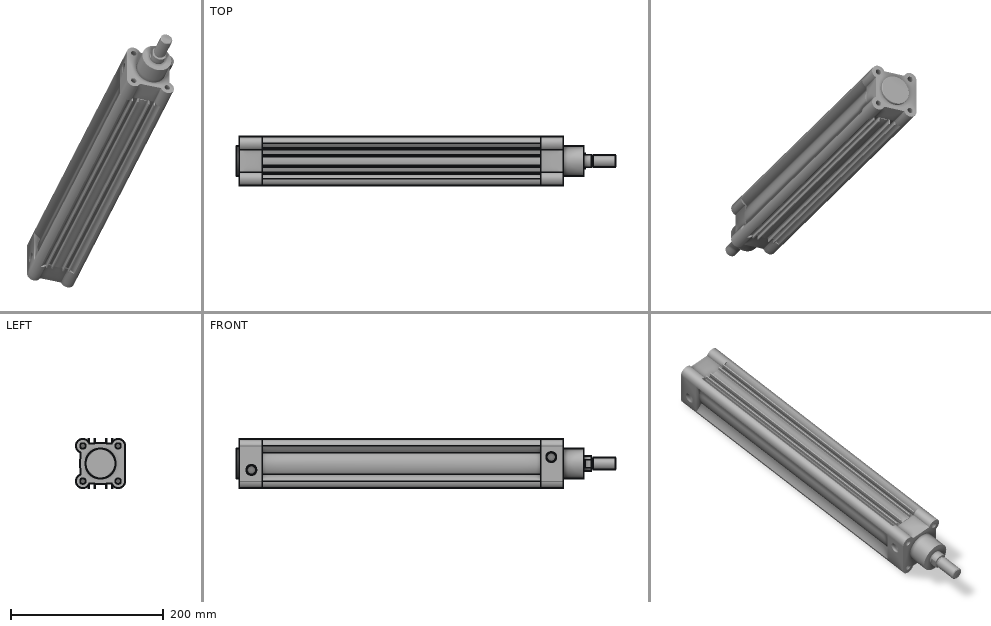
import cadquery as cq


overall_length = 499.0
rear_boss_length = 4.0
rear_boss_chamfer = 0.5
cap_length = 30.0
front_cap_x = 400.0
front_boss_length = 27.0

body_width = 65.0
corner_radius = 9.25
half_width = body_width / 2
corner_offset = half_width - corner_radius

cap_face_offset = 26.5
boss_radius = 20.0
screw_hole_radius = 3.75
screw_hole_depth = 10.0
port_radius = 6.0
port_chamfer = 0.75
port_depth = 10.0
port_height = 8.5
port_setback = 16.0

barrel_radius = 27.5
slot_center = 11.5
slot_mouth_half = 3.0
slot_cavity_half = 3.5
slot_floor = 25.0
slot_lip_bottom = 28.0
rail_top_half = 4.5
rail_flare = 1.5
rail_flare_bottom = 26.5
rail_base = 22.5

rod_radius = 10.0
flat_half_width = 8.5
flat_start_gap = 2.0
thread_length = 32.0
thread_radius = 8.0
thread_chamfer = 1.0
neck_length = 1.5
neck_radius = 7.0

rear_cap_x = rear_boss_length
tube_x = rear_cap_x + cap_length
tube_length = front_cap_x - tube_x
front_face_x = front_cap_x + cap_length
rod_x = front_face_x + front_boss_length
shoulder_x = overall_length - thread_length

corners = [(y, z) for y in (-corner_offset, corner_offset) for z in (-corner_offset, corner_offset)]


def section_plane(x):
    """Workplane across the cylinder axis; local axes are Y and Z, extrusion goes toward +X."""
    return cq.Workplane("YZ", origin=(x, 0, 0))


def make_cap_block(x):
    """Block with four round corner lugs and a full-width flat face on the -Y side."""
    core = (
        section_plane(x)
        .center((cap_face_offset - corner_offset) / 2, 0)
        .rect(cap_face_offset + corner_offset, 2 * cap_face_offset)
        .extrude(cap_length)
    )
    port_pad = (
        section_plane(x)
        .center(-(half_width + corner_offset) / 2, 0)
        .rect(corner_radius, 2 * corner_offset)
        .extrude(cap_length)
    )
    lugs = section_plane(x).pushPoints(corners).circle(corner_radius).extrude(cap_length)
    return core.union(port_pad).union(lugs)


def make_screw_holes(x, direction):
    """Blind corner holes going into a cap from its outer face."""
    mouths = section_plane(x).pushPoints(corners).circle(screw_hole_radius)
    return mouths.extrude(direction * screw_hole_depth)


def make_port(x, z):
    """Blind air port with a chamfered mouth in the -Y face."""
    bore = cq.Workplane("XZ", origin=(x, -half_width, z)).circle(port_radius).extrude(-port_depth)
    countersink = cq.Solid.makeCone(
        port_radius + port_chamfer,
        port_radius,
        port_chamfer,
        pnt=cq.Vector(x, -half_width, z),
        dir=cq.Vector(0, 1, 0),
    )
    return bore.union(cq.Workplane(countersink))


def make_rear_cap():
    boss = section_plane(0).circle(boss_radius).extrude(rear_boss_length)
    boss = boss.faces("<X").chamfer(rear_boss_chamfer)
    return (
        make_cap_block(rear_cap_x)
        .union(boss)
        .cut(make_screw_holes(rear_cap_x, 1))
        .cut(make_port(rear_cap_x + port_setback, -port_height))
    )


def make_front_cap():
    boss = section_plane(front_face_x).circle(boss_radius).extrude(front_boss_length)
    return (
        make_cap_block(front_cap_x)
        .union(boss)
        .cut(make_screw_holes(front_face_x, -1))
        .cut(make_port(front_face_x - port_setback, port_height))
    )


def make_slot_rail():
    """Rail on the +Z side that carries one sensor slot, with flared flanks."""
    rail_base_half = rail_top_half + rail_flare
    right_flank = [
        (rail_base_half, rail_base),
        (rail_base_half, rail_flare_bottom),
        (rail_top_half, rail_flare_bottom + rail_flare),
        (rail_top_half, half_width),
    ]
    left_flank = [(-y, z) for y, z in reversed(right_flank)]
    return section_plane(tube_x).polyline(right_flank + left_flank).close().extrude(tube_length)


def make_sensor_slot():
    """T-slot open at the top of a rail."""
    right_wall = [
        (slot_cavity_half, slot_floor),
        (slot_cavity_half, slot_lip_bottom),
        (slot_mouth_half, slot_lip_bottom),
        (slot_mouth_half, half_width),
    ]
    left_wall = [(-y, z) for y, z in reversed(right_wall)]
    return section_plane(tube_x).polyline(right_wall + left_wall).close().extrude(tube_length)


def make_tube():
    tube = section_plane(tube_x).rect(body_width, body_width).extrude(tube_length)
    tube = tube.edges("|X").fillet(corner_radius)

    notch_corners = [
        (-corner_offset, half_width),
        (corner_offset, half_width),
        (0, half_width - corner_offset),
    ]
    notch = section_plane(tube_x).polyline(notch_corners).close().extrude(tube_length)
    for angle in (0, 90, 180, 270):
        tube = tube.cut(notch.rotate((0, 0, 0), (1, 0, 0), angle))
    tube = tube.union(section_plane(tube_x).circle(barrel_radius).extrude(tube_length))

    rail = make_slot_rail()
    slot = make_sensor_slot()
    for angle in (0, 180):
        for offset in (-slot_center, slot_center):
            placed_rail = rail.translate((0, offset, 0)).rotate((0, 0, 0), (1, 0, 0), angle)
            placed_slot = slot.translate((0, offset, 0)).rotate((0, 0, 0), (1, 0, 0), angle)
            tube = tube.union(placed_rail).cut(placed_slot)
    return tube


def make_rod():
    """Rod with two wrench flats on the +Y and -Y sides, a neck and a plain cylinder for the thread."""
    shank = section_plane(rod_x).circle(rod_radius).extrude(shoulder_x - rod_x)
    flat_x = rod_x + flat_start_gap
    flat_length = shoulder_x - flat_x
    flat_depth = rod_radius - flat_half_width
    for side in (-1, 1):
        flat_cut = cq.Workplane("XY").box(
            flat_length, flat_depth, 2 * rod_radius, centered=(False, True, True)
        )
        flat_y = side * (flat_half_width + flat_depth / 2)
        shank = shank.cut(flat_cut.translate((flat_x, flat_y, 0)))

    neck = section_plane(shoulder_x).circle(neck_radius).extrude(neck_length)
    thread_x = shoulder_x + neck_length
    thread = section_plane(thread_x).circle(thread_radius).extrude(overall_length - thread_x)
    thread = thread.faces("<X or >X").chamfer(thread_chamfer)
    return shank.union(neck).union(thread)


rear_cap = make_rear_cap()
tube = make_tube()
front_cap = make_front_cap()
rod = make_rod()

result = cq.Compound.makeCompound(
    [*rear_cap.solids().vals(), *tube.solids().vals(), *front_cap.solids().vals(), *rod.solids().vals()]
)